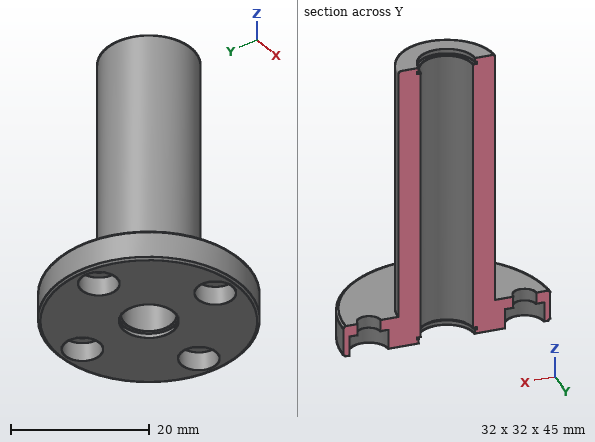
import cadquery as cq

total_height = 45.0
flange_diameter = 32.0
flange_thickness = 5.0
flange_chamfer = 0.35
sleeve_diameter = 15.0
sleeve_edge_radius = 0.5

bore_diameter = 8.0
mouth_diameter = 8.6
groove_diameter = 9.2
recess_depth = 1.0
groove_width = 0.25

hole_count = 4
hole_circle_diameter = 24.0
hole_diameter = 3.5
counterbore_diameter = 6.0
counterbore_depth = 3.1


def cylinder(diameter, bottom, height):
    """Vertical cylinder on the part axis, starting at the given height."""
    return cq.Workplane("XY").workplane(offset=bottom).circle(diameter / 2).extrude(height)


def mounting_holes(diameter, depth):
    """Cylinders on the hole circle, rising from the underside of the flange."""
    return (
        cq.Workplane("XY")
        .polarArray(hole_circle_diameter / 2, 0, 360, hole_count, rotate=False)
        .circle(diameter / 2)
        .extrude(depth)
    )


flange = cylinder(flange_diameter, 0, flange_thickness).edges().chamfer(flange_chamfer)
sleeve = cylinder(sleeve_diameter, 0, total_height).faces(">Z").edges().fillet(sleeve_edge_radius)
body = flange.union(sleeve)

body = body.cut(cylinder(bore_diameter, 0, total_height))
for recess_bottom in (0, total_height - recess_depth):
    body = body.cut(cylinder(mouth_diameter, recess_bottom, recess_depth))
for groove_bottom in (recess_depth - groove_width, total_height - recess_depth):
    body = body.cut(cylinder(groove_diameter, groove_bottom, groove_width))

body = body.cut(mounting_holes(hole_diameter, flange_thickness))
body = body.cut(mounting_holes(counterbore_diameter, counterbore_depth))

result = body